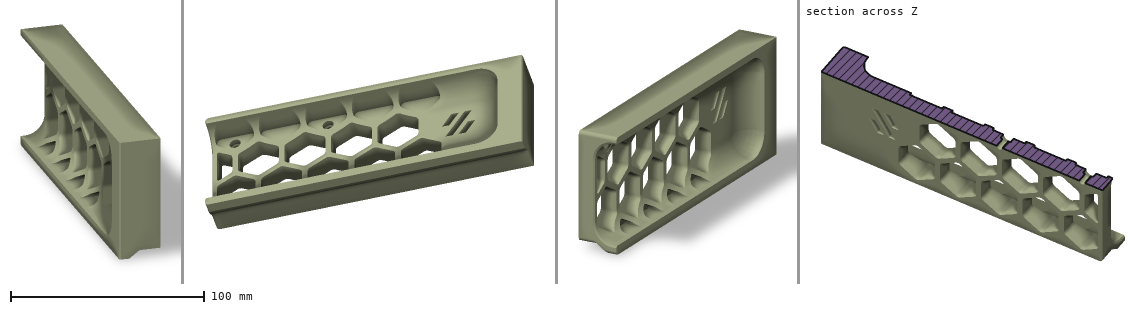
import cadquery as cq
import math

LENGTH = 170.5
DEPTH = 22.3
HEIGHT = 65.0

LIP_DROP = 4.1
LIP_DEPTH = 5.3
SLOPE_END_DEPTH = 13.6

LEFT_EDGE_RADIUS = 2.0
SLOPE_END_Z = LIP_DROP + LEFT_EDGE_RADIUS
RIGHT_EDGE_CHAMFER = 0.7

CAVITY_BOTTOM = 5.1
CAVITY_TOP = 61.0
CAVITY_RIGHT = 157.2
CAVITY_DEPTH = 13.0
CAVITY_CORNER_RADIUS = 12.0
FLOOR_RADIUS = 10.9
MOUTH_CHAMFER = 1.0
MOUTH_LENGTH = 0.7
LEFT_OVERRUN = 17.0

LOWER_ROW_CELLS = 5
LAST_CELL_X = 112.5
HEX_PITCH = LAST_CELL_X / (LOWER_ROW_CELLS - 0.5)
HEX_GAP = 3.0
HEX_CORNER_RADIUS = 2.5
HALF_CELL_RADIUS = 1.0
HEX_LEFT_LIMIT = 2.7
LOWER_ROW_Z = 19.5
ROW_PITCH = HEX_PITCH * math.sqrt(3) / 2
HEX_WIDTH = HEX_PITCH - HEX_GAP
TIP_TO_TIP_RATIO = 2 / math.sqrt(3)
BOTTOM_RECESS_WIDTH = 13.3

SCREW_DIAMETER = 3.2
SCREW_HEAD_DIAMETER = 6.0
SCREW_HEAD_DEPTH = 3.0
SCREW_Z = 55.8
SCREW_HALF_PITCHES = (1, 5)

WINDOW_CENTER_X = 132.6
WINDOW_CENTER_Z = 37.2
WINDOW_HEIGHT = 16.0
WINDOW_WIDTH = 4.0
WINDOW_LEAN = 0.64
SHORT_WINDOW_OFFSET = 4.5


def box(x_range, y_range, z_range):
    """Box spanning the given (low, high) ranges."""
    sizes = [high - low for low, high in (x_range, y_range, z_range)]
    return cq.Workplane("XY").box(*sizes, centered=False).translate((x_range[0], y_range[0], z_range[0]))


def front_plane():
    """Sketch plane on the front face, with local (x, y) = (X, Z); extrude negative to go into the part."""
    return cq.Workplane("XZ")


def make_block():
    """Main block plus the bottom lip; the lip's slope keeps a sharp edge at the left end."""
    main = box((0, LENGTH), (0, DEPTH), (LIP_DROP, HEIGHT)).edges("|Y and <X").fillet(LEFT_EDGE_RADIUS)
    lip = (
        cq.Workplane("YZ")
        .polyline([
            (0, 0),
            (LIP_DEPTH, 0),
            (SLOPE_END_DEPTH, SLOPE_END_Z),
            (0, SLOPE_END_Z),
        ])
        .close()
        .extrude(LENGTH)
        .edges("|Y and <X and <Z").fillet(LEFT_EDGE_RADIUS)
    )
    block = main.union(lip).clean()
    return block.faces(">X").edges("|Z and <Y").chamfer(RIGHT_EDGE_CHAMFER)


def make_cavity():
    """Cavity with rounded right corners, a rounded floor edge, running out of the left end."""
    return (
        box((-LEFT_OVERRUN, CAVITY_RIGHT), (0, CAVITY_DEPTH), (CAVITY_BOTTOM, CAVITY_TOP))
        .edges("|Y and >X").fillet(CAVITY_CORNER_RADIUS)
        .faces(">Y").edges("not(<X)").fillet(FLOOR_RADIUS)
    )


def make_mouth_flare():
    """Bevel around the open left end of the cavity."""
    def section(x, growth):
        low = CAVITY_BOTTOM - growth
        high = CAVITY_TOP + growth
        depth = CAVITY_DEPTH + growth
        radius = FLOOR_RADIUS + growth
        reach = radius * math.sqrt(0.5)
        return (
            cq.Workplane("YZ", origin=(x, 0, 0))
            .moveTo(0, low)
            .lineTo(depth - radius, low)
            .threePointArc((depth - radius + reach, low + radius - reach), (depth, low + radius))
            .lineTo(depth, high - radius)
            .threePointArc((depth - radius + reach, high - radius + reach), (depth - radius, high))
            .lineTo(0, high)
            .close()
            .wire()
            .val()
        )
    return cq.Workplane(cq.Solid.makeLoft([section(0, MOUTH_CHAMFER), section(MOUTH_LENGTH, 0)], True))


def hexagon(x, z, width, depth):
    """Sharp hexagon with upright sides, cut inwards from the front face."""
    return (
        front_plane()
        .center(x, z)
        .transformed(rotate=(0, 0, 90))
        .polygon(6, width * TIP_TO_TIP_RATIO)
        .extrude(-depth)
    )


def honeycomb_limits(depth):
    """Region that the honeycomb may occupy."""
    return box((HEX_LEFT_LIMIT, CAVITY_RIGHT), (0, depth), (CAVITY_BOTTOM, CAVITY_TOP))


def honeycomb_cell(x, z, depth):
    """Cell trimmed to the honeycomb limits and then rounded at every corner."""
    cell = hexagon(x, z, HEX_WIDTH, depth).intersect(honeycomb_limits(depth))
    return cell.edges("|Y").fillet(HEX_CORNER_RADIUS)


def left_half_cell(z):
    """Right half of a rounded cell centered on the left end, with a tighter radius where it is trimmed."""
    cell = hexagon(0, z, HEX_WIDTH, DEPTH).edges("|Y").fillet(HEX_CORNER_RADIUS)
    return cell.intersect(honeycomb_limits(DEPTH)).edges("|Y and <X").fillet(HALF_CELL_RADIUS)


def bottom_recess(x):
    """Top end of a narrower rounded hexagon, with its flat base level with the cavity bottom."""
    tip_z = LOWER_ROW_Z - ROW_PITCH + HEX_WIDTH * TIP_TO_TIP_RATIO / 2
    center_z = tip_z - BOTTOM_RECESS_WIDTH * TIP_TO_TIP_RATIO / 2
    recess = hexagon(x, center_z, BOTTOM_RECESS_WIDTH, CAVITY_DEPTH).edges("|Y").fillet(HEX_CORNER_RADIUS)
    return recess.intersect(honeycomb_limits(CAVITY_DEPTH))


def slanted_window(x, z, height):
    """Parallelogram window through the floor, leaning to the right."""
    half_height = height / 2
    half_width = WINDOW_WIDTH / 2
    shift = WINDOW_LEAN * half_height
    return (
        front_plane()
        .polyline([
            (x - shift - half_width, z - half_height),
            (x - shift + half_width, z - half_height),
            (x + shift + half_width, z + half_height),
            (x + shift - half_width, z + half_height),
        ])
        .close()
        .extrude(-DEPTH)
    )


result = make_block().cut(make_cavity()).cut(make_mouth_flare())

ODD_HALF_PITCHES = range(1, 2 * LOWER_ROW_CELLS, 2)
EVEN_HALF_PITCHES = range(2, 2 * LOWER_ROW_CELLS, 2)
HEX_ROWS = [
    (0, ODD_HALF_PITCHES, DEPTH),
    (1, EVEN_HALF_PITCHES, DEPTH),
    (2, ODD_HALF_PITCHES, CAVITY_DEPTH),
]
for row, half_pitches, cell_depth in HEX_ROWS:
    for half_pitch in half_pitches:
        cell_x = half_pitch * HEX_PITCH / 2
        result = result.cut(honeycomb_cell(cell_x, LOWER_ROW_Z + row * ROW_PITCH, cell_depth))

result = result.cut(left_half_cell(LOWER_ROW_Z + ROW_PITCH))

for column in range(1, LOWER_ROW_CELLS):
    result = result.cut(bottom_recess(column * HEX_PITCH))

for half_pitch in SCREW_HALF_PITCHES:
    hole = front_plane().center(half_pitch * HEX_PITCH / 2, SCREW_Z)
    result = result.cut(hole.circle(SCREW_DIAMETER / 2).extrude(-DEPTH))
    result = result.cut(hole.circle(SCREW_HEAD_DIAMETER / 2).extrude(-(CAVITY_DEPTH + SCREW_HEAD_DEPTH)))

result = result.cut(slanted_window(WINDOW_CENTER_X, WINDOW_CENTER_Z, WINDOW_HEIGHT))
for side in (-1, 1):
    result = result.cut(
        slanted_window(
            WINDOW_CENTER_X + side * SHORT_WINDOW_OFFSET,
            WINDOW_CENTER_Z - side * WINDOW_HEIGHT / 4,
            WINDOW_HEIGHT / 2,
        )
    )